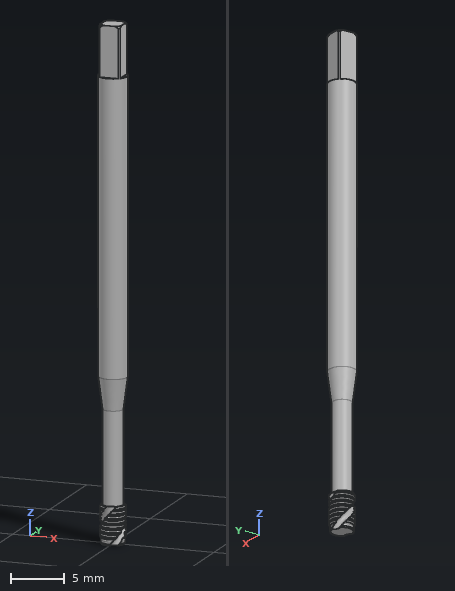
import cadquery as cq
import math

total_length = 50.0
head_length = 3.75

shank_radius = 1.4
neck_radius = 1.0
taper_start = 12.95
taper_end = 16.1
square_side = 2.1
square_length = 5.0
square_chamfer = 0.2

crest_radius = 1.25
root_radius = 1.1
tip_radius = 1.1
lead_crest_radius = 1.15
lead_chamfer_height = 0.15
pitch = 0.45
crest_width = 0.1
tooth_count = 7
first_tooth = 0.8

flute_count = 2
flute_lead = 8.0
flute_radius = 0.35
flute_offset = 1.2
flute_overrun = 0.5
flute_angle_at_tip = 112.5


def make_shank():
    """Neck, taper and shank turned in one piece, with a square drive end."""
    square_start = total_length - square_length
    turned = (
        cq.Workplane("XZ")
        .moveTo(0, head_length)
        .lineTo(neck_radius, head_length)
        .lineTo(neck_radius, taper_start)
        .lineTo(shank_radius, taper_end)
        .lineTo(shank_radius, total_length - square_chamfer)
        .lineTo(shank_radius - square_chamfer, total_length)
        .lineTo(0, total_length)
        .close()
        .revolve(360, (0, 0), (0, 1))
    )
    around_square = (
        cq.Workplane("XY", origin=(0, 0, square_start))
        .circle(2 * shank_radius)
        .rect(square_side, square_side)
        .extrude(square_length)
    )
    return turned.cut(around_square)


def make_head_blank():
    """Turned head: chamfered lead tooth followed by evenly pitched V-shaped teeth."""
    root_step = pitch / 2
    lead_tooth = first_tooth - pitch
    profile = (
        cq.Workplane("XZ")
        .lineTo(tip_radius, 0)
        .lineTo(lead_crest_radius, lead_chamfer_height)
        .lineTo(lead_crest_radius, lead_tooth + crest_width / 2)
        .lineTo(root_radius, first_tooth - root_step)
    )
    for tooth in range(tooth_count):
        tooth_height = first_tooth + tooth * pitch
        profile = (
            profile
            .lineTo(crest_radius, tooth_height - crest_width / 2)
            .lineTo(crest_radius, tooth_height + crest_width / 2)
            .lineTo(root_radius, tooth_height + root_step)
        )
    return (
        profile
        .lineTo(root_radius, head_length)
        .lineTo(0, head_length)
        .close()
        .revolve(360, (0, 0), (0, 1))
    )


def make_flute_cutter():
    """Round bar swept along a right-hand helix, longer than the head at both ends."""
    sweep_length = head_length + 2 * flute_overrun
    helix = cq.Wire.makeHelix(flute_lead, sweep_length, flute_offset)
    helix_rise = flute_lead / (2 * math.pi)
    section = cq.Plane(
        origin=(flute_offset, 0, 0),
        xDir=(1, 0, 0),
        normal=(0, flute_offset, helix_rise),
    )
    start_angle = flute_angle_at_tip - 360 * flute_overrun / flute_lead
    return (
        cq.Workplane(section)
        .circle(flute_radius)
        .sweep(cq.Workplane(helix), isFrenet=True)
        .translate((0, 0, -flute_overrun))
        .rotate((0, 0, 0), (0, 0, 1), start_angle)
    )


def make_cutting_head():
    """Toothed head with its flutes spaced evenly around the axis."""
    head = make_head_blank()
    cutter = make_flute_cutter()
    for flute in range(flute_count):
        turn = flute * 360 / flute_count
        head = head.cut(cutter.rotate((0, 0, 0), (0, 0, 1), turn))
    return head


shank = make_shank()
cutting_head = make_cutting_head()

result = cq.Compound.makeCompound([shank.val(), cutting_head.val()])